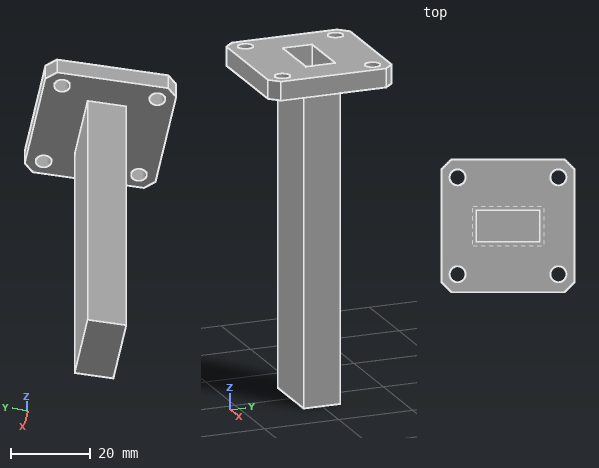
import cadquery as cq

total_height = 90.0
flange_side = 33.4
flange_thickness = 5.0
corner_chamfer = 2.5

wall = 1.0
bore_x = 15.8
bore_y = 7.9
tube_x = bore_x + 2 * wall
tube_y = bore_y + 2 * wall
bore_depth = total_height - wall

hole_diameter = 4.0
hole_spacing_x = 25.3
hole_spacing_y = 24.3

flange_bottom = total_height - flange_thickness

tube = cq.Workplane("XY").box(tube_x, tube_y, total_height, centered=(True, True, False))

flange = (
    cq.Workplane("XY")
    .workplane(offset=flange_bottom)
    .rect(flange_side, flange_side)
    .extrude(flange_thickness)
    .edges("|Z")
    .chamfer(corner_chamfer)
    .faces(">Z")
    .workplane()
    .rect(hole_spacing_x, hole_spacing_y, forConstruction=True)
    .vertices()
    .hole(hole_diameter)
)

bore = (
    cq.Workplane("XY")
    .workplane(offset=total_height)
    .rect(bore_x, bore_y)
    .extrude(-bore_depth)
)

result = tube.union(flange).cut(bore)